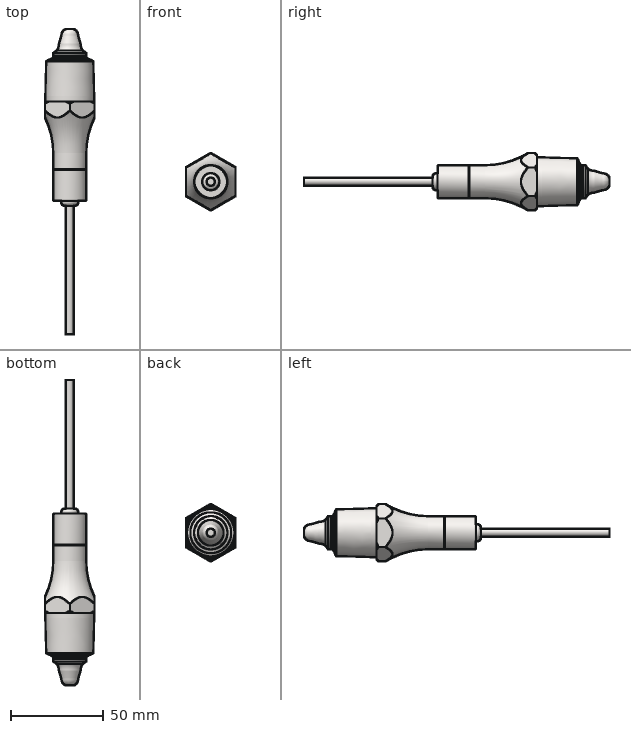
import cadquery as cq
import math

total_length = 165.8
hex_across_flats = 27.0
hex_across_corners = hex_across_flats / math.cos(math.pi / 6)

dome_end = 3.6
tip_taper_end = 8.1
flare_end = 11.6
ring_start = 13.1
ring_groove_start = 14.5
ring_groove_end = 15.4
shoulder_mid = 16.5
body_start = 17.5
body_taper_end = 36.5
hex_start = 39.3
hex_crown = 40.5
hex_slope_start = 44.3
neck_end = 67.5
seam_groove_start = 76.0
seam_groove_width = 0.7
handle_end = 93.3
collar_end = 96.0

tip_flat_radius = 4.5 / 2
dome_radius = 9.3 / 2
tip_taper_radius = 12.0 / 2
flare_radius = 7.0
ring_radius = 18.0 / 2
ring_groove_depth = 0.5
shoulder_radius = 11.1
body_start_radius = 25.7 / 2
body_radius = 26.7 / 2
hex_back_radius = 14.5
handle_radius = 18.0 / 2
seam_groove_depth = 0.3
collar_radius = 9.3 / 2
collar_face_radius = 6.1 / 2
cable_radius = 4.5 / 2

handle_round = 0.8
collar_rim = 0.3
collar_bulge = 0.58
dome_bulge = 0.7
flare_sag = 0.25
shoulder_sag = 0.25


def station(radius, from_tip):
    """Profile point at a radius and a distance from the tip."""
    return (radius, total_length - from_tip)


def arc_middle(start, end, bulge):
    """Point midway along an arc, with the chord midpoint moved away from the axis by bulge."""
    dx = end[0] - start[0]
    dy = end[1] - start[1]
    chord = math.hypot(dx, dy)
    mid_x = (start[0] + end[0]) / 2
    mid_y = (start[1] + end[1]) / 2
    return (mid_x - dy / chord * bulge, mid_y + dx / chord * bulge)


def add_arc(profile, start, end, bulge):
    """Extend the profile from start to end with an arc; a negative bulge is concave."""
    return profile.threePointArc(arc_middle(start, end, bulge), end)


def revolve_profile(profile):
    return profile.close().revolve(360, (0, 0, 0), (0, 1, 0))


def make_connector():
    """Tip, ring and tapered body behind the hexagon."""
    tip_edge = station(tip_flat_radius, 0)
    dome_edge = station(dome_radius, dome_end)
    flare_base = station(tip_taper_radius, tip_taper_end)
    flare_edge = station(flare_radius, flare_end)
    groove_radius = ring_radius - ring_groove_depth
    shoulder_base = station(ring_radius, ring_groove_end)
    shoulder_edge = station(shoulder_radius, shoulder_mid)

    profile = cq.Workplane("XY").moveTo(*station(0, 0)).lineTo(*tip_edge)
    profile = add_arc(profile, tip_edge, dome_edge, dome_bulge)
    profile = profile.lineTo(*flare_base)
    profile = add_arc(profile, flare_base, flare_edge, -flare_sag)
    profile = (
        profile.lineTo(*station(ring_radius, ring_start))
        .lineTo(*station(ring_radius, ring_groove_start))
        .lineTo(*station(groove_radius, ring_groove_start))
        .lineTo(*station(groove_radius, ring_groove_end))
        .lineTo(*shoulder_base)
    )
    profile = add_arc(profile, shoulder_base, shoulder_edge, -shoulder_sag)
    profile = (
        profile.lineTo(*station(body_start_radius, body_start))
        .lineTo(*station(body_radius, body_taper_end))
        .lineTo(*station(body_radius, hex_start))
        .lineTo(*station(0, hex_start))
    )
    return revolve_profile(profile)


def make_grip():
    """Hexagon trimmed by a round envelope that sweeps down into the cylindrical handle."""
    crown_radius = hex_across_corners / 2
    neck_start = station(crown_radius, hex_slope_start)
    neck_finish = station(handle_radius, neck_end)
    neck_angle = math.atan2(crown_radius - handle_radius, neck_end - hex_slope_start)
    half_chord = math.hypot(crown_radius - handle_radius, neck_end - hex_slope_start) / 2
    neck_sag = half_chord * math.tan(neck_angle / 2)
    groove_radius = handle_radius - seam_groove_depth
    seam_groove_end = seam_groove_start + seam_groove_width

    profile = (
        cq.Workplane("XY")
        .moveTo(*station(0, hex_start))
        .lineTo(*station(hex_back_radius, hex_start))
        .lineTo(*station(crown_radius, hex_crown))
        .lineTo(*neck_start)
    )
    profile = add_arc(profile, neck_start, neck_finish, -neck_sag)
    profile = (
        profile.lineTo(*station(handle_radius, seam_groove_start))
        .lineTo(*station(groove_radius, seam_groove_start))
        .lineTo(*station(groove_radius, seam_groove_end))
        .lineTo(*station(handle_radius, seam_groove_end))
        .lineTo(*station(handle_radius, handle_end - handle_round))
        .radiusArc(station(handle_radius - handle_round, handle_end), handle_round)
        .lineTo(*station(0, handle_end))
    )
    hexagon = (
        cq.Workplane("XZ", origin=(0, total_length - hex_start, 0))
        .transformed(rotate=(0, 0, 90))
        .polygon(6, hex_across_corners)
        .extrude(handle_end - hex_start)
    )
    return revolve_profile(profile).intersect(hexagon)


def make_collar():
    """Rounded strain-relief collar where the cable leaves the handle."""
    rim_edge = station(collar_radius, handle_end + collar_rim)
    face_edge = station(collar_face_radius, collar_end)
    profile = (
        cq.Workplane("XY")
        .moveTo(*station(0, handle_end))
        .lineTo(*station(collar_radius, handle_end))
        .lineTo(*rim_edge)
    )
    profile = add_arc(profile, rim_edge, face_edge, collar_bulge)
    return revolve_profile(profile.lineTo(*station(0, collar_end)))


def make_cable():
    return cq.Workplane("XZ").circle(cable_radius).extrude(collar_end - total_length)


result = make_connector().union(make_grip()).union(make_collar()).union(make_cable())